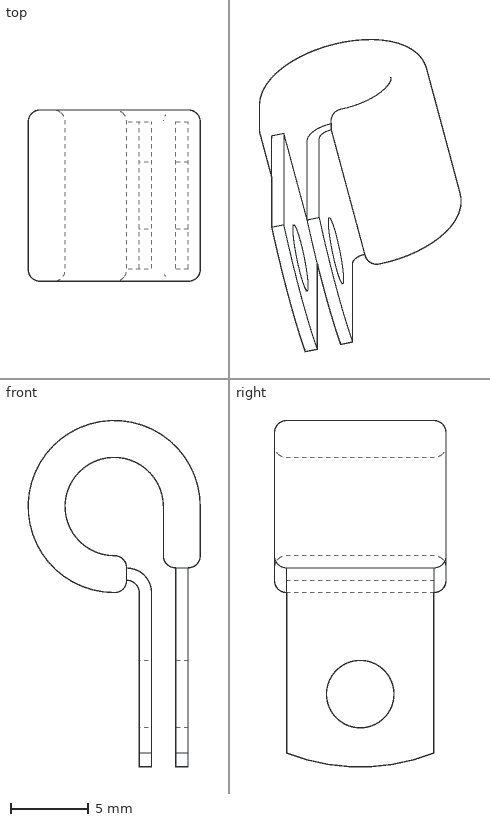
import cadquery as cq
import math

height = 22.43
outer_diameter = 11.15
sleeve_width = 11.1

band = 0.8
band_width = 9.5
tip_rise = 0.9
hole_radius = 2.18
hole_z = -12.13

edge_round = 0.79
short_end = 0.8
long_end = 3.97
cover = (sleeve_width - band_width) / 2

outer_radius = outer_diameter / 2
band_outer = outer_radius - cover
band_inner = band_outer - band
inner_radius = band_inner - cover
leg_bottom = outer_radius - height

bend_inner = band
bend_outer = bend_inner + band
bend_z = -band_inner - bend_outer

diagonal = math.sqrt(0.5)


def extrude_centred(sketch, width):
    """Close an outline and extrude it evenly to both sides of its plane."""
    return sketch.close().extrude(width / 2, both=True)


def make_sleeve():
    """Three-quarter loop with a straight run at each end, rounded all over."""
    profile = (
        cq.Workplane("XZ")
        .moveTo(short_end, -outer_radius)
        .lineTo(0, -outer_radius)
        .threePointArc((-outer_radius * diagonal, outer_radius * diagonal), (outer_radius, 0))
        .lineTo(outer_radius, -long_end)
        .lineTo(inner_radius, -long_end)
        .lineTo(inner_radius, 0)
        .threePointArc((-inner_radius * diagonal, inner_radius * diagonal), (0, -inner_radius))
        .lineTo(short_end, -inner_radius)
    )
    sleeve = extrude_centred(profile, sleeve_width)
    side_edges = sleeve.faces("<Y or >Y").edges()
    short_cap = sleeve.faces(cq.selectors.NearestToPointSelector(
        (short_end, 0, -(inner_radius + outer_radius) / 2))).edges("|Y")
    long_cap = sleeve.faces(cq.selectors.NearestToPointSelector(
        ((inner_radius + outer_radius) / 2, 0, -long_end))).edges("|Y")
    return side_edges.add(short_cap).add(long_cap).fillet(edge_round)


def make_left_leg():
    """Leg leaving the short end of the loop and bending downward."""
    profile = (
        cq.Workplane("XZ")
        .moveTo(0, -band_inner)
        .lineTo(short_end, -band_inner)
        .threePointArc(
            (short_end + bend_outer * diagonal, bend_z + bend_outer * diagonal),
            (short_end + bend_outer, bend_z),
        )
        .lineTo(short_end + bend_outer, leg_bottom)
        .lineTo(short_end + bend_inner, leg_bottom)
        .lineTo(short_end + bend_inner, bend_z)
        .threePointArc(
            (short_end + bend_inner * diagonal, bend_z + bend_inner * diagonal),
            (short_end, bend_z + bend_inner),
        )
        .lineTo(0, -band_outer)
    )
    return extrude_centred(profile, band_width)


def make_right_leg():
    """Straight leg hanging from the right side of the loop."""
    profile = (
        cq.Workplane("XZ")
        .moveTo(band_inner, 0)
        .lineTo(band_outer, 0)
        .lineTo(band_outer, leg_bottom)
        .lineTo(band_inner, leg_bottom)
    )
    return extrude_centred(profile, band_width)


def make_leg_envelope():
    """Side outline of the legs: rounded tip and bolt hole."""
    half_width = band_width / 2
    outline = (
        cq.Workplane("YZ")
        .moveTo(-half_width, 0)
        .lineTo(-half_width, leg_bottom + tip_rise)
        .threePointArc((0, leg_bottom), (half_width, leg_bottom + tip_rise))
        .lineTo(half_width, 0)
    )
    envelope = extrude_centred(outline, 2 * outer_radius)
    hole = (
        cq.Workplane("YZ")
        .center(0, hole_z)
        .circle(hole_radius)
        .extrude(outer_radius, both=True)
    )
    return envelope.cut(hole)


legs = make_left_leg().union(make_right_leg()).intersect(make_leg_envelope())
result = make_sleeve().union(legs)